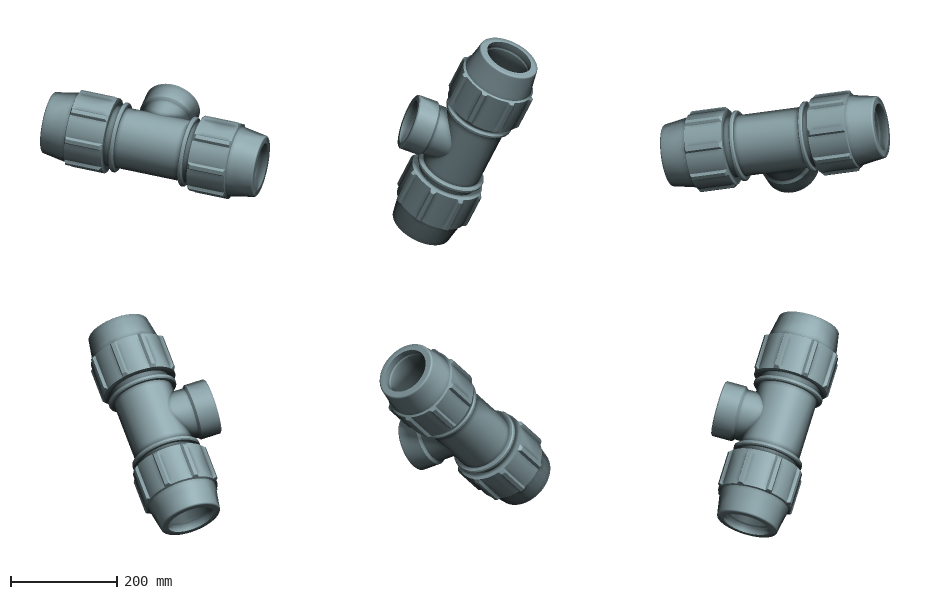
import cadquery as cq
import math

length = 419.0
half_length = length / 2

body_diameter = 115.5
bore_diameter = 81.0

pipe_diameter = 90.0
recess_diameter = 93.0
recess_depth = 15.5
recess_end = 18.5

nose_tip_radius = 58.5
nose_edge_fillet = 3.8
nose_base_radius = 67.5

nut_start = 50.3
nut_end = 125.3
nut_radius = 71.5
pipe_stop = nut_end
rib_count = 8
rib_tip_radius = 76.5
rib_tip_width = 7.5
rib_base_width = 14.0
rib_foot_radius = 63.0
rib_corner_radius = math.hypot(rib_tip_radius, rib_tip_width / 2)
lead_length = 3.8
runout_length = 5.0
runout_radius = nut_radius + 0.5

collar_start = 137.5
collar_width = 8.5
collar_diameter = 134.0
collar_chamfer = 2.0

branch_end = 116.0
branch_neck_diameter = 97.5
branch_socket_diameter = 107.3
branch_bore_diameter = 85.0
socket_start = 76.5
socket_edge = 2.0
socket_shoulder = (branch_socket_diameter - branch_neck_diameter) / 2


def along_x(diameter, start, depth):
    """Cylinder on the run axis, from x = start toward +X."""
    return cq.Workplane("YZ").workplane(offset=start).circle(diameter / 2).extrude(depth)


def along_branch(diameter, depth):
    """Cylinder on the branch axis, from the run axis toward +Y."""
    return cq.Workplane("XZ").circle(diameter / 2).extrude(-depth)


def revolve_on_run(outline):
    """Turn an (inset from -X end, radius) outline about the run axis."""
    points = [(inset - half_length, radius) for inset, radius in outline]
    return cq.Workplane("XY").polyline(points).close().revolve(360, (0, 0, 0), (1, 0, 0))


def make_nose():
    nose = revolve_on_run([
        (0, 0),
        (0, nose_tip_radius),
        (nut_start, nose_base_radius),
        (nut_start, 0),
    ])
    return nose.faces("<X").edges().fillet(nose_edge_fillet)


def make_nut():
    nut_length = nut_end - nut_start
    rib_root = math.sqrt(nut_radius ** 2 - (rib_base_width / 2) ** 2)
    rib = (
        cq.Workplane("YZ")
        .workplane(offset=nut_start - half_length)
        .polyline([
            (-rib_base_width / 2, rib_foot_radius),
            (-rib_base_width / 2, rib_root),
            (-rib_tip_width / 2, rib_tip_radius),
            (rib_tip_width / 2, rib_tip_radius),
            (rib_base_width / 2, rib_root),
            (rib_base_width / 2, rib_foot_radius),
        ])
        .close()
        .extrude(nut_length)
    )
    nut = along_x(2 * nut_radius, nut_start - half_length, nut_length)
    pitch = 360 / rib_count
    for index in range(rib_count):
        nut = nut.union(rib.rotate((0, 0, 0), (1, 0, 0), (index + 0.5) * pitch))
    envelope = revolve_on_run([
        (nut_start, 0),
        (nut_start, nose_base_radius),
        (nut_start + lead_length, rib_corner_radius),
        (nut_end - runout_length, rib_corner_radius),
        (nut_end, runout_radius),
        (nut_end, 0),
    ])
    return nut.intersect(envelope)


def make_collar():
    collar = along_x(collar_diameter, collar_start - half_length, collar_width)
    return collar.edges().chamfer(collar_chamfer)


def make_pipe_socket():
    return revolve_on_run([
        (0, 0),
        (0, pipe_diameter / 2),
        (recess_depth, recess_diameter / 2),
        (recess_end, pipe_diameter / 2),
        (pipe_stop, pipe_diameter / 2),
        (pipe_stop, 0),
    ])


def make_branch():
    neck = along_branch(branch_neck_diameter, branch_end)
    socket = (
        cq.Workplane("XZ")
        .workplane(offset=-branch_end)
        .circle(branch_socket_diameter / 2)
        .extrude(branch_end - socket_start + socket_shoulder)
    )
    socket = socket.faces("<Y").edges().chamfer(socket_shoulder)
    socket = socket.faces(">Y").edges().chamfer(socket_edge)
    return neck.union(socket)


def on_both_ends(feature):
    """Add the mirrored copy at the +X end."""
    return feature.union(feature.mirror("YZ"))


body = along_x(body_diameter, nut_start - half_length, length - 2 * nut_start)
outside = body.union(make_branch())
for end_feature in (make_nose(), make_nut(), make_collar()):
    outside = outside.union(on_both_ends(end_feature))

result = (
    outside
    .cut(along_x(bore_diameter, -half_length, length))
    .cut(on_both_ends(make_pipe_socket()))
    .cut(along_branch(branch_bore_diameter, branch_end))
)